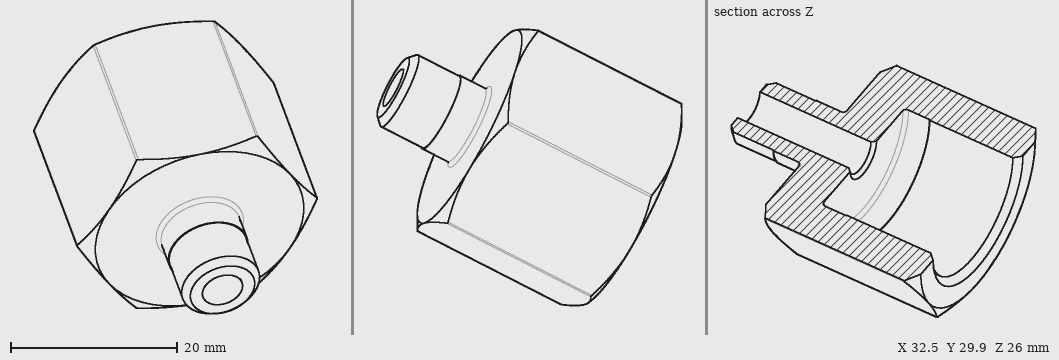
import cadquery as cq
import math

hex_sides = 6
across_flats = 26.0
corner_fillet = 0.3
body_length = 22.0
face_diameter = across_flats
chamfer_angle = 30.0

total_length = 32.5
spigot_diameter = 9.9
thread_diameter = 9.72
thread_length = 6.55
spigot_tip_chamfer = 0.85
base_fillet = 0.5

bore_diameter = 18.62
bore_mouth_diameter = 20.38
relief_diameter = 18.82
relief_start = 12.7
bore_depth = 16.25
bore_floor_fillet = 0.5
through_diameter = 5.0
through_mouth_diameter = 5.98


def revolve_about_x(profile):
    """Solid of revolution about X from a closed profile in the XY plane."""
    return profile.revolve(360, (0, 0, 0), (1, 0, 0))


def hex_body():
    sharp_corners = across_flats / math.cos(math.pi / hex_sides)
    prism = cq.Workplane("YZ").polygon(hex_sides, sharp_corners).extrude(body_length)
    prism = prism.edges("|X").fillet(corner_fillet)
    corner_radius = sharp_corners / 2
    face_radius = face_diameter / 2
    chamfer_length = (corner_radius - face_radius) * math.tan(math.radians(chamfer_angle))
    envelope_points = [
        (0, 0),
        (0, face_radius),
        (chamfer_length, corner_radius),
        (body_length - chamfer_length, corner_radius),
        (body_length, face_radius),
        (body_length, 0),
    ]
    envelope = revolve_about_x(cq.Workplane("XY").polyline(envelope_points).close())
    return prism.intersect(envelope)


def fillet_inset(radius):
    """Distance from each side of a square corner to the middle of its fillet arc."""
    return radius * (1 - math.sqrt(0.5))


def spigot():
    radius = spigot_diameter / 2
    thread_radius = thread_diameter / 2
    spigot_root = body_length / 2
    thread_start = total_length - thread_length
    arc_inset = fillet_inset(base_fillet)
    profile = (
        cq.Workplane("XY")
        .moveTo(spigot_root, 0)
        .lineTo(spigot_root, radius + base_fillet)
        .lineTo(body_length, radius + base_fillet)
        .threePointArc(
            (body_length + arc_inset, radius + arc_inset),
            (body_length + base_fillet, radius),
        )
        .lineTo(thread_start, radius)
        .lineTo(thread_start, thread_radius)
        .lineTo(total_length - spigot_tip_chamfer, thread_radius)
        .lineTo(total_length, thread_radius - spigot_tip_chamfer)
        .lineTo(total_length, 0)
        .close()
    )
    return revolve_about_x(profile)


def bore():
    radius = bore_diameter / 2
    relief_radius = relief_diameter / 2
    mouth_radius = bore_mouth_diameter / 2
    through_radius = through_diameter / 2
    through_mouth_radius = through_mouth_diameter / 2
    arc_inset = fillet_inset(bore_floor_fillet)
    profile = (
        cq.Workplane("XY")
        .lineTo(0, mouth_radius)
        .lineTo(mouth_radius - radius, radius)
        .lineTo(relief_start, radius)
        .lineTo(relief_start, relief_radius)
        .lineTo(bore_depth - bore_floor_fillet, relief_radius)
        .threePointArc(
            (bore_depth - arc_inset, relief_radius - arc_inset),
            (bore_depth, relief_radius - bore_floor_fillet),
        )
        .lineTo(bore_depth, through_mouth_radius)
        .lineTo(bore_depth + through_mouth_radius - through_radius, through_radius)
        .lineTo(total_length, through_radius)
        .lineTo(total_length, 0)
        .close()
    )
    return revolve_about_x(profile)


result = hex_body().union(spigot()).cut(bore())